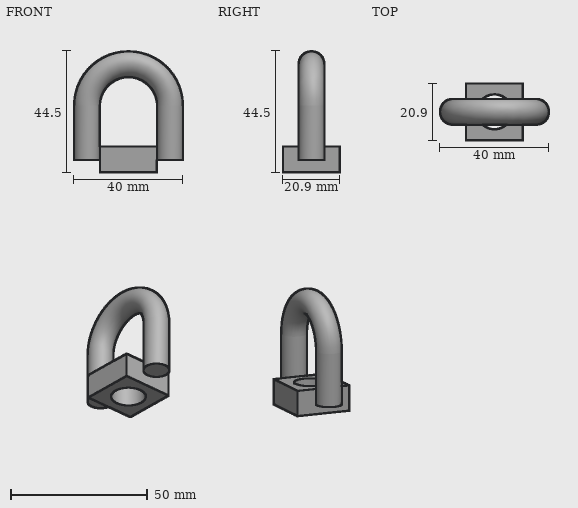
import cadquery as cq

overall_height = 44.45
block_side = 20.9
block_height = 9.55
hole_diameter = 12.7
rod_diameter = 9.55
leg_length = 19.92

rod_radius = rod_diameter / 2
bend_radius = (block_side + rod_diameter) / 2
bend_center_z = overall_height - bend_radius - rod_radius
leg_bottom_z = bend_center_z - leg_length


def make_block():
    """Square block standing on Z = 0 with a vertical through hole."""
    return (
        cq.Workplane("XY")
        .rect(block_side, block_side)
        .extrude(block_height)
        .faces(">Z")
        .workplane()
        .hole(hole_diameter)
    )


def make_shackle():
    """Round rod bent into an upside-down U, with two straight legs."""
    centerline = (
        cq.Workplane("XZ")
        .moveTo(-bend_radius, leg_bottom_z)
        .lineTo(-bend_radius, bend_center_z)
        .threePointArc((0, bend_center_z + bend_radius), (bend_radius, bend_center_z))
        .lineTo(bend_radius, leg_bottom_z)
    )
    return (
        cq.Workplane("XY", origin=(-bend_radius, 0, leg_bottom_z))
        .circle(rod_radius)
        .sweep(centerline)
    )


block = make_block()
shackle = make_shackle()

result = cq.Compound.makeCompound([block.val(), shackle.val()])